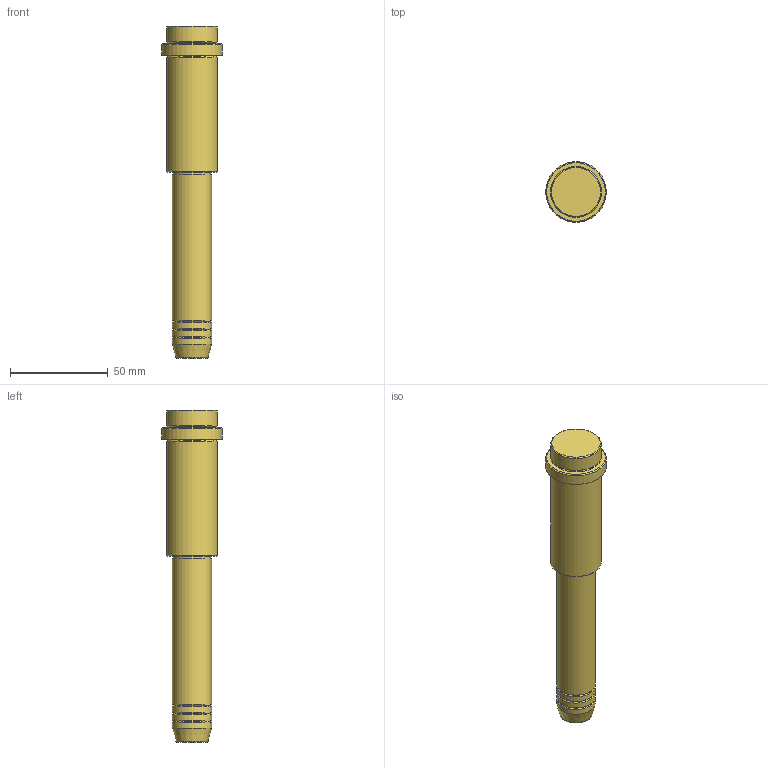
import cadquery as cq
import math

total_length = 170.0
head_radius = 13.0
flange_radius = 15.5
shank_radius = 10.0

head_height = 9.0
flange_height = 6.0
body_height = 60.0
nose_height = 7.0

head_chamfer = 0.5
flange_chamfer = 0.5
body_chamfer = 0.5
nose_fillet = 0.5
nose_angle = 15.0
relief_width = 1.0
relief_depth = 0.5

vee_depth = 0.5
groove_count = 3
groove_pitch = 4.0
lowest_groove_height = 10.5

flange_top = total_length - head_height
flange_bottom = flange_top - flange_height
body_bottom = flange_bottom - body_height


def cylinder(radius, bottom, top):
    return cq.Workplane("XY").workplane(offset=bottom).circle(radius).extrude(top - bottom)


def vee_groove(surface_radius, height):
    """Ring to remove, leaving a 90 degree V groove centred at the given height."""
    section = (
        cq.Workplane("XZ")
        .moveTo(surface_radius - vee_depth, height)
        .lineTo(surface_radius, height + vee_depth)
        .lineTo(surface_radius, height - vee_depth)
        .close()
    )
    return section.revolve(360, (0, 0, 0), (0, 1, 0))


def make_head():
    return cylinder(head_radius, flange_top, total_length).faces(">Z").chamfer(head_chamfer)


def make_flange():
    return cylinder(flange_radius, flange_bottom, flange_top).faces(">Z").chamfer(flange_chamfer)


def make_body():
    return cylinder(head_radius, body_bottom, flange_bottom).faces("<Z").chamfer(body_chamfer)


def make_shank():
    """Straight shank with a conical lead-in nose and a rounded tip edge."""
    tip_radius = shank_radius - nose_height * math.tan(math.radians(nose_angle))
    profile = (
        cq.Workplane("XZ")
        .polyline([
            (0, 0),
            (tip_radius, 0),
            (shank_radius, nose_height),
            (shank_radius, body_bottom),
            (0, body_bottom),
        ])
        .close()
    )
    return profile.revolve(360, (0, 0, 0), (0, 1, 0)).faces("<Z").edges().fillet(nose_fillet)


def cut_flange_grooves(pin):
    """V grooves directly above and directly below the flange."""
    pin = pin.cut(vee_groove(head_radius, flange_top + vee_depth))
    return pin.cut(vee_groove(head_radius, flange_bottom - vee_depth))


def cut_shank_relief(pin):
    """Square undercut of the shank directly below the body."""
    bottom = body_bottom - relief_width
    ring = cylinder(shank_radius, bottom, body_bottom)
    core = cylinder(shank_radius - relief_depth, bottom, body_bottom)
    return pin.cut(ring.cut(core))


def cut_lubrication_grooves(pin):
    for index in range(groove_count):
        height = lowest_groove_height + index * groove_pitch
        pin = pin.cut(vee_groove(shank_radius, height))
    return pin


pin = make_head().union(make_flange()).union(make_body()).union(make_shank())
pin = cut_flange_grooves(pin)
pin = cut_shank_relief(pin)
result = cut_lubrication_grooves(pin)